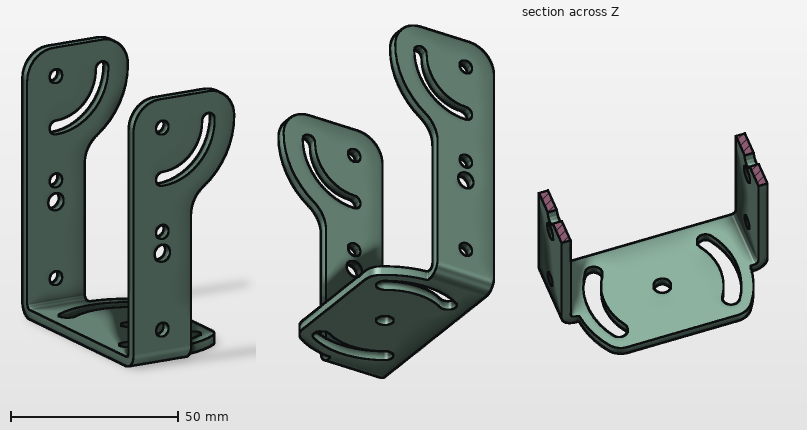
import cadquery as cq
import math

WIDTH = 65.6
HEIGHT = 83.0
BASE_DEPTH = 36.0
THICKNESS = 3.0
INNER_BEND_RADIUS = 1.5
OUTER_BEND_RADIUS = INNER_BEND_RADIUS + THICKNESS
STRAP_DEPTH = 20.0

ARM_CORNER_RADIUS = 9.0
ARM_HOLE_DIAMETER = 4.3
ARM_LARGE_HOLE_DIAMETER = 5.3
ARM_HOLE_Y = STRAP_DEPTH / 2
PIVOT_Z = HEIGHT - ARM_CORNER_RADIUS
ARM_HOLE_HEIGHTS = (11.0, 41.5, PIVOT_Z)
ARM_LARGE_HOLE_Z = 34.9
ARM_SLOT_RADIUS = 16.0
ARM_HEAD_RADIUS = 25.0
ARM_NECK_RADIUS = 10.0

BASE_CENTER_Y = BASE_DEPTH / 2
BASE_HOLE_DIAMETER = 5.3
BASE_SLOT_WIDTH = BASE_HOLE_DIAMETER
BASE_SLOT_RADIUS = 21.0
BASE_SLOT_HALF_ANGLE = 32
BASE_EDGE_RADIUS = 27.3
BASE_CORNER_RADIUS = 6.0
NOTCH_RADIUS = 0.5


def polar(center, radius, degrees):
    """Point at a given radius and angle from a center."""
    angle = math.radians(degrees)
    return (center[0] + radius * math.cos(angle), center[1] + radius * math.sin(angle))


def arc_slot(plane, center, radius, width, start, end):
    """Closed round-ended slot outline that follows an arc from start to end degrees."""
    inner = radius - width / 2
    outer = radius + width / 2
    middle = (start + end) / 2
    start_cap = polar(polar(center, radius, start), width / 2, start - 90)
    end_cap = polar(polar(center, radius, end), width / 2, end + 90)
    return (
        cq.Workplane(plane)
        .moveTo(*polar(center, inner, start))
        .threePointArc(polar(center, inner, middle), polar(center, inner, end))
        .threePointArc(end_cap, polar(center, outer, end))
        .threePointArc(polar(center, outer, middle), polar(center, outer, start))
        .threePointArc(start_cap, polar(center, inner, start))
        .close()
    )


def bent_sheet():
    """U-shaped sheet with rounded bends, as deep as the base plate."""
    outer = (
        cq.Workplane("XY")
        .box(WIDTH, BASE_DEPTH, HEIGHT, centered=(True, False, False))
        .edges("|Y and <Z")
        .fillet(OUTER_BEND_RADIUS)
    )
    inner = (
        cq.Workplane("XY")
        .workplane(offset=THICKNESS)
        .box(WIDTH - 2 * THICKNESS, BASE_DEPTH, HEIGHT, centered=(True, False, False))
        .edges("|Y and <Z")
        .fillet(INNER_BEND_RADIUS)
    )
    return outer.cut(inner)


def arm_outline():
    """Side silhouette: a strap that widens into a round-cornered head."""
    pivot = (ARM_HOLE_Y, PIVOT_Z)
    head_y = ARM_HOLE_Y + ARM_HEAD_RADIUS

    neck_y = STRAP_DEPTH + ARM_NECK_RADIUS
    center_distance = ARM_HEAD_RADIUS + ARM_NECK_RADIUS
    neck_angle = -math.degrees(math.acos((neck_y - ARM_HOLE_Y) / center_distance))
    neck_center = polar(pivot, center_distance, neck_angle)
    neck_middle = polar(neck_center, ARM_NECK_RADIUS, 180 + neck_angle / 2)

    head_corner = (head_y - ARM_CORNER_RADIUS, PIVOT_Z)
    front_corner = (ARM_CORNER_RADIUS, PIVOT_Z)
    return (
        cq.Workplane("YZ")
        .lineTo(STRAP_DEPTH, 0)
        .lineTo(STRAP_DEPTH, neck_center[1])
        .threePointArc(neck_middle, polar(pivot, ARM_HEAD_RADIUS, neck_angle))
        .threePointArc(polar(pivot, ARM_HEAD_RADIUS, neck_angle / 2), (head_y, PIVOT_Z))
        .threePointArc(polar(head_corner, ARM_CORNER_RADIUS, 45), (head_corner[0], HEIGHT))
        .lineTo(front_corner[0], HEIGHT)
        .threePointArc(polar(front_corner, ARM_CORNER_RADIUS, 135), (0, PIVOT_Z))
        .close()
        .extrude(WIDTH / 2, both=True)
    )


def base_tongue():
    """Rear part of the base: curved sides and rounded rear corners."""
    center = (0, BASE_CENTER_Y)
    disc = cq.Workplane("XY").center(*center).circle(BASE_EDGE_RADIUS).extrude(THICKNESS)
    limits = cq.Workplane("XY").box(
        WIDTH, BASE_DEPTH - STRAP_DEPTH, THICKNESS, centered=(True, False, False)
    ).translate((0, STRAP_DEPTH, 0))
    tongue = disc.intersect(limits)
    return tongue.edges("|Z and >Y").fillet(BASE_CORNER_RADIUS)


def arm_cutouts():
    """Holes and quarter-turn slots through both arms."""
    small = (
        cq.Workplane("YZ")
        .pushPoints([(ARM_HOLE_Y, z) for z in ARM_HOLE_HEIGHTS])
        .circle(ARM_HOLE_DIAMETER / 2)
        .extrude(WIDTH / 2, both=True)
    )
    large = (
        cq.Workplane("YZ")
        .center(ARM_HOLE_Y, ARM_LARGE_HOLE_Z)
        .circle(ARM_LARGE_HOLE_DIAMETER / 2)
        .extrude(WIDTH / 2, both=True)
    )
    slot = arc_slot(
        "YZ", (ARM_HOLE_Y, PIVOT_Z), ARM_SLOT_RADIUS, ARM_HOLE_DIAMETER, -90, 0
    ).extrude(WIDTH / 2, both=True)
    return small.union(large).union(slot)


def base_cutouts():
    """Center hole and two facing arc slots through the base."""
    center = (0, BASE_CENTER_Y)
    cutouts = cq.Workplane("XY").center(*center).circle(BASE_HOLE_DIAMETER / 2).extrude(THICKNESS)
    for direction in (0, 180):
        slot = arc_slot(
            "XY",
            center,
            BASE_SLOT_RADIUS,
            BASE_SLOT_WIDTH,
            direction - BASE_SLOT_HALF_ANGLE,
            direction + BASE_SLOT_HALF_ANGLE,
        )
        cutouts = cutouts.union(slot.extrude(THICKNESS))
    return cutouts


def notch_edges(body):
    """Upright inside corners where the tongue meets the strap."""
    half_width = math.sqrt(BASE_EDGE_RADIUS**2 - (STRAP_DEPTH - BASE_CENTER_Y) ** 2)
    corners = [(side * half_width, STRAP_DEPTH, THICKNESS / 2) for side in (-1, 1)]
    left, right = [cq.selectors.NearestToPointSelector(corner) for corner in corners]
    return body.edges("|Z").edges(left + right)


bracket = bent_sheet().intersect(arm_outline()).union(base_tongue())
bracket = notch_edges(bracket).fillet(NOTCH_RADIUS)
result = bracket.cut(arm_cutouts()).cut(base_cutouts())